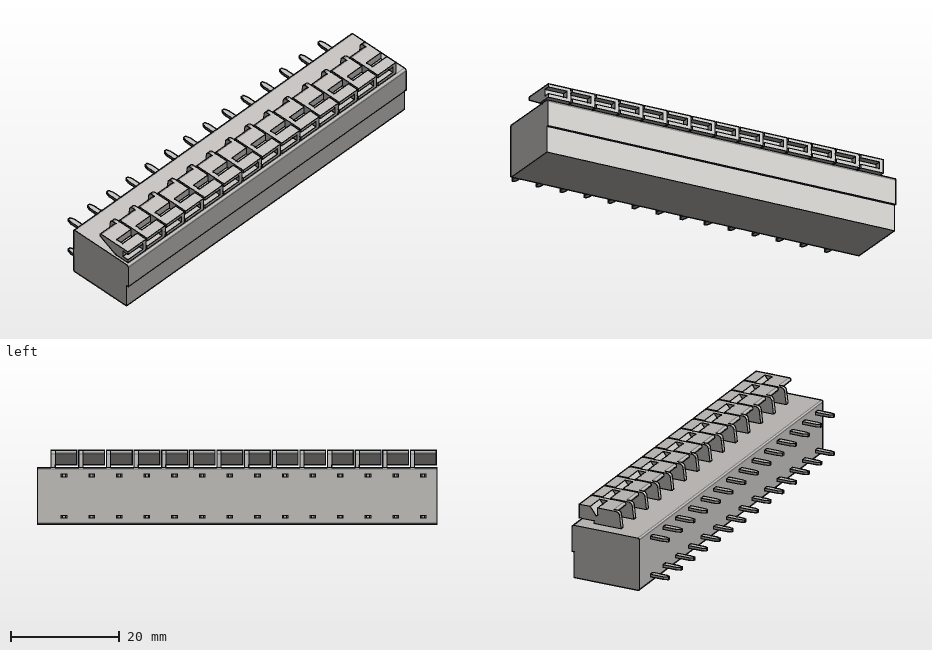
import cadquery as cq
import math

length = 73.65
body_depth = 14.0
body_height = 10.45
back_step_height = 5.15
back_step_depth = 0.45
front_top_radius = 0.3
front_bottom_radius = 0.3
back_top_radius = 0.45

pole_count = 14
end_plate = 2.35
pitch = (length - end_plate) / pole_count
first_pole_y = -length / 2 + pitch / 2

lever_width = 4.8
lever_top = 13.7
lever_gap = 0.5
lever_bottom = body_height + lever_gap
lever_front = 6.55
lever_back = 13.8
nose_radius = 0.4
underside_angle = math.radians(28)

rib_width = 0.8
rib_front = 5.1
rib_back = 10.7
rib_lean = math.radians(7)
rib_radius = 0.8

slot_front = 9.95
slot_back = 11.5
slot_length = 3.8
slot_slope = math.radians(53)
slot_floor_depth = 0.3
slot_floor_slope = math.radians(30)

notch_depth = 1.3
notch_height = 1.3
notch_below_top = 0.65

pin_length = 3.6
pin_width = 1.0
pin_thickness = 0.5
pin_tip_length = 0.9
pin_tip_width = 0.5
pin_heights = (1.4, 9.0)


def side_profile(points, y_start, y_end):
    """Extrude an outline given in X and Z from y_start to y_end."""
    outline = cq.Workplane("XZ", origin=(0, y_end, 0)).polyline(points).close()
    return outline.extrude(y_end - y_start)


def round_edge(solid, x, y, z, radius):
    """Fillet the edge whose midpoint is at (x, y, z)."""
    edge = cq.selectors.NearestToPointSelector((x, y, z))
    return solid.edges(edge).fillet(radius)


def make_body():
    lower_back = body_depth - back_step_depth
    outline = [
        (0, 0),
        (lower_back, 0),
        (lower_back, back_step_height),
        (body_depth, back_step_height),
        (body_depth, body_height),
        (0, body_height),
    ]
    body = side_profile(outline, -length / 2, length / 2)
    body = round_edge(body, 0, 0, 0, front_bottom_radius)
    body = round_edge(body, 0, 0, body_height, front_top_radius)
    return round_edge(body, body_depth, 0, body_height, back_top_radius)


def make_rib(side_y):
    top_front = rib_front + (lever_top - body_height) * math.tan(rib_lean)
    outline = [
        (rib_front, body_height),
        (rib_back, body_height),
        (rib_back, lever_top),
        (top_front, lever_top),
    ]
    rib = side_profile(outline, side_y - rib_width, side_y)
    return round_edge(rib, top_front, side_y - rib_width / 2, lever_top, rib_radius)


def make_lever_blank(side_y):
    nose_x = lever_front + nose_radius
    nose_z = lever_top - nose_radius
    tangent_x = nose_x - nose_radius * math.sin(underside_angle)
    tangent_z = nose_z - nose_radius * math.cos(underside_angle)
    underside_end = tangent_x + (tangent_z - lever_bottom) / math.tan(underside_angle)
    return (
        cq.Workplane("XZ", origin=(0, side_y, 0))
        .moveTo(nose_x, lever_top)
        .threePointArc((lever_front, nose_z), (tangent_x, tangent_z))
        .lineTo(underside_end, lever_bottom)
        .lineTo(lever_back, lever_bottom)
        .lineTo(lever_back, lever_top)
        .close()
        .extrude(lever_width)
    )


def make_slot(side_y):
    floor_end = slot_front + slot_floor_depth
    slot_bottom = lever_top - (slot_back - floor_end) * math.tan(slot_slope)
    floor_start = slot_bottom + slot_floor_depth * math.tan(slot_floor_slope)
    outline = [
        (slot_front, lever_top),
        (slot_front, floor_start),
        (floor_end, slot_bottom),
        (slot_back, lever_top),
    ]
    return side_profile(outline, side_y - slot_length, side_y)


def make_notch(side_y):
    notch_length = lever_width - rib_width
    corner = (lever_back - notch_depth, side_y - lever_width, lever_top - notch_below_top - notch_height)
    notch = cq.Workplane("XY").box(notch_depth, notch_length, notch_height, centered=False)
    return notch.translate(corner)


def make_lever(pole_y):
    side_y = pole_y + lever_width / 2
    lever = make_lever_blank(side_y).union(make_rib(side_y))
    return lever.cut(make_slot(side_y)).cut(make_notch(side_y))


def make_pin(pole_y, height):
    half = pin_width / 2
    half_tip = pin_tip_width / 2
    taper_x = pin_tip_length - pin_length
    outline = [
        (0, -half),
        (0, half),
        (taper_x, half),
        (-pin_length, half_tip),
        (-pin_length, -half_tip),
        (taper_x, -half),
    ]
    return (
        cq.Workplane("XY", origin=(0, pole_y, height - pin_thickness / 2))
        .polyline(outline)
        .close()
        .extrude(pin_thickness)
    )


result = make_body()
for pole in range(pole_count):
    pole_y = first_pole_y + pole * pitch
    result = result.union(make_lever(pole_y))
    for height in pin_heights:
        result = result.union(make_pin(pole_y, height))